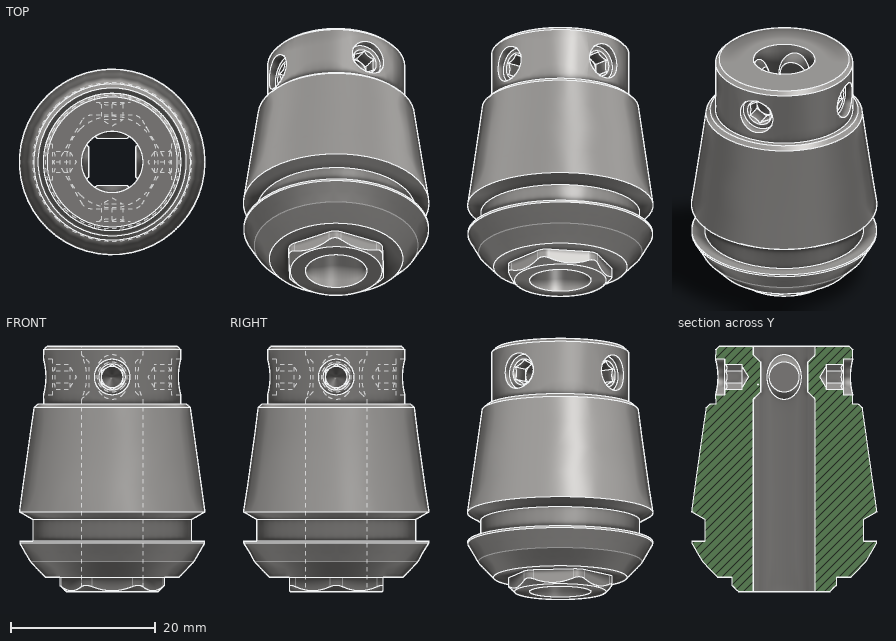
import cadquery as cq
import math

TOTAL_HEIGHT = 34.0
HEX_HEIGHT = 2.0
FLANGE_TOP = 7.0
FLANGE_RIM_HEIGHT = 0.27
FLANGE_CONE_HEIGHT = 2.55
SLEEVE_BOTTOM = 10.0
SHOULDER = 26.0

BORE_DIAMETER = 8.5
GROOVE_DIAMETER = 22.0
FLANGE_DIAMETER = 25.6
FLANGE_BASE_DIAMETER = 18.5
SLEEVE_DIAMETER = 25.7
COLLAR_DIAMETER = 19.0
EDGE_CHAMFER = 0.5
SLEEVE_TAPER = math.radians(8)
STEEP_ANGLE = math.radians(30)

HEX_ACROSS_FLATS = 13.0
HEX_CORNER_RADIUS = 1.65
HEX_TIP_DIAMETER = 12.68

SCREW_COUNT = 4
SCREW_HEIGHT = 29.7
SCREW_TIP_POSITION = 3.23
SCREW_TIP_DIAMETER = 4.15
SCREW_FACE_POSITION = 8.23
TIP_OVERLAP = 0.17
RECESS_DIAMETER = 4.93
SOCKET_ACROSS_FLATS = 2.95
SOCKET_DEPTH = 2.38
SOCKET_MOUTH_DIAMETER = 3.65
SOCKET_CONE_ANGLE = math.radians(59)


def corner_diameter(across_flats):
    return across_flats / math.cos(math.pi / 6)


def make_body():
    """Turn the flange, groove, tapered sleeve and collar as one solid."""
    groove_radius = GROOVE_DIAMETER / 2
    flange_radius = FLANGE_DIAMETER / 2
    sleeve_radius = SLEEVE_DIAMETER / 2
    collar_radius = COLLAR_DIAMETER / 2

    rim_bottom = FLANGE_TOP - FLANGE_RIM_HEIGHT
    knee_height = rim_bottom - FLANGE_CONE_HEIGHT
    knee_radius = flange_radius - FLANGE_CONE_HEIGHT * math.tan(STEEP_ANGLE)

    sleeve_widest = SLEEVE_BOTTOM + (sleeve_radius - groove_radius) * math.tan(STEEP_ANGLE)
    shoulder_radius = sleeve_radius - (SHOULDER - sleeve_widest) * math.tan(SLEEVE_TAPER)
    chamfer_radius = shoulder_radius + EDGE_CHAMFER * math.sin(SLEEVE_TAPER)
    chamfer_height = SHOULDER - EDGE_CHAMFER * math.cos(SLEEVE_TAPER)

    outline = [
        (0, HEX_HEIGHT),
        (FLANGE_BASE_DIAMETER / 2, HEX_HEIGHT),
        (knee_radius, knee_height),
        (flange_radius, rim_bottom),
        (flange_radius, FLANGE_TOP),
        (groove_radius, FLANGE_TOP),
        (groove_radius, SLEEVE_BOTTOM),
        (sleeve_radius, sleeve_widest),
        (chamfer_radius, chamfer_height),
        (shoulder_radius - EDGE_CHAMFER, SHOULDER),
        (collar_radius, SHOULDER),
        (collar_radius, TOTAL_HEIGHT - EDGE_CHAMFER),
        (collar_radius - EDGE_CHAMFER, TOTAL_HEIGHT),
        (0, TOTAL_HEIGHT),
    ]
    return cq.Workplane("XZ").polyline(outline).close().revolve(360, (0, 0, 0), (0, 1, 0))


def make_hexagon():
    """Round the corners of the hexagon and trim its lower edge with a 45 degree cone."""
    hexagon = (
        cq.Workplane("XY")
        .polygon(6, corner_diameter(HEX_ACROSS_FLATS))
        .extrude(HEX_HEIGHT)
        .edges("|Z")
        .fillet(HEX_CORNER_RADIUS)
    )
    tip_radius = HEX_TIP_DIAMETER / 2
    top_radius = tip_radius + HEX_HEIGHT
    cone = cq.Workplane("XY").add(cq.Solid.makeCone(tip_radius, top_radius, HEX_HEIGHT))
    return hexagon.intersect(cone)


def make_screw_cone(start, start_radius, end_radius, length):
    """Make a cone on the screw axis; a negative length runs toward the body axis."""
    direction = cq.Vector(math.copysign(1, length), 0, 0)
    base = cq.Vector(start, 0, SCREW_HEIGHT)
    return cq.Workplane(cq.Solid.makeCone(start_radius, end_radius, abs(length), base, direction))


def make_screw_tip():
    """Make the 45 degree tip of the screw along +X, widening until it is buried in the bore wall."""
    tip_radius = SCREW_TIP_DIAMETER / 2
    tip_length = BORE_DIAMETER / 2 - SCREW_TIP_POSITION + TIP_OVERLAP
    return make_screw_cone(SCREW_TIP_POSITION, tip_radius, tip_radius + tip_length, tip_length)


def make_screw_recess():
    """Make the cutter for the hole outside the screw along +X and for its hexagon socket."""
    socket_radius = SOCKET_ACROSS_FLATS / 2
    mouth_radius = SOCKET_MOUTH_DIAMETER / 2
    socket_bottom = SCREW_FACE_POSITION - SOCKET_DEPTH
    drill_length = socket_radius / math.tan(SOCKET_CONE_ANGLE)

    face_plane = cq.Workplane("YZ", origin=(SCREW_FACE_POSITION, 0, SCREW_HEIGHT))
    recess = face_plane.circle(RECESS_DIAMETER / 2).extrude(COLLAR_DIAMETER / 2 - SCREW_FACE_POSITION)
    socket = (
        face_plane.transformed(rotate=(0, 0, 30))
        .polygon(6, corner_diameter(SOCKET_ACROSS_FLATS))
        .extrude(-SOCKET_DEPTH)
    )
    drill_point = make_screw_cone(socket_bottom, socket_radius, 0, -drill_length)
    mouth = make_screw_cone(SCREW_FACE_POSITION, mouth_radius, 0, -mouth_radius)
    return recess.union(socket).union(drill_point).union(mouth)


bore = cq.Workplane("XY").circle(BORE_DIAMETER / 2).extrude(TOTAL_HEIGHT)
result = make_body().union(make_hexagon()).cut(bore)

screw_tip = make_screw_tip()
screw_recess = make_screw_recess()
for index in range(SCREW_COUNT):
    angle = index * 360 / SCREW_COUNT
    result = result.union(screw_tip.rotate((0, 0, 0), (0, 0, 1), angle))
    result = result.cut(screw_recess.rotate((0, 0, 0), (0, 0, 1), angle))